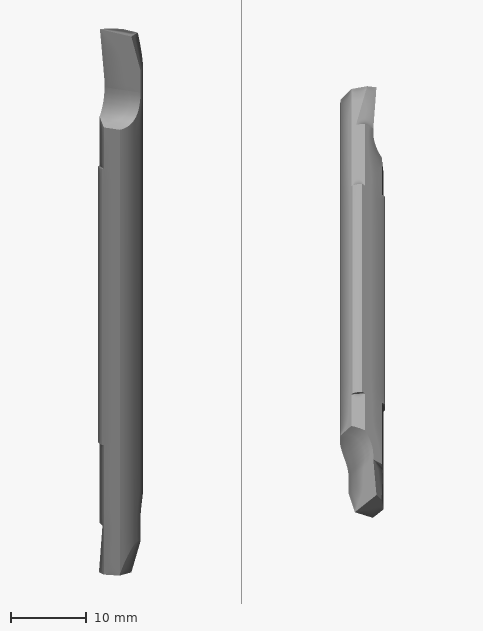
import cadquery as cq
import math

bar_length = 75.0
bar_radius = 3.0
bar_thickness = 5.4
side_flat_x = -2.3
chamfer_sum = 3.75
round_length = 38.25

tip_length = 7.05
end_drop = 0.4
nose_top_x = 1.65
nose_length = 4.9
flank_relief = 20.0
end_relief = 6.0
nose_relief = 10.0

gullet_radius = 5.3
gullet_start = 7.95

half_length = bar_length / 2
half_thickness = bar_thickness / 2
tip_base_z = half_length - tip_length
margin = 1.5


def round_section():
    """Round middle of the shank with front, back and side flats."""
    flats = cq.Workplane("XY").box(bar_radius - side_flat_x, bar_thickness, round_length)
    flats = flats.translate(((bar_radius + side_flat_x) / 2, 0, 0))
    return cq.Workplane("XY").circle(bar_radius).extrude(round_length / 2, both=True).intersect(flats)


def chamfered_section(side_x, z_low, z_high):
    """Bar stretch with chamfers beside its left side and a round right side."""
    chamfer_y = chamfer_sum + side_x
    chamfer_x = half_thickness - chamfer_sum
    round_x = math.sqrt(bar_radius**2 - half_thickness**2)
    return (
        cq.Workplane("XY", origin=(0, 0, z_low))
        .moveTo(side_x, -chamfer_y)
        .lineTo(chamfer_x, -half_thickness)
        .lineTo(round_x, -half_thickness)
        .threePointArc((bar_radius, 0), (round_x, half_thickness))
        .lineTo(chamfer_x, half_thickness)
        .lineTo(side_x, chamfer_y)
        .close()
        .extrude(z_high - z_low)
    )


def relief_cutter(start, end, angle):
    """Wedge that removes the outside of an XZ edge, leaning inward toward +Y."""
    run = cq.Vector(end[0] - start[0], 0, end[1] - start[1])
    direction = run.normalized()
    outward = cq.Vector(0, 1, 0).cross(direction)
    origin = cq.Vector(start[0], 0, start[1]) - direction * margin
    lean = math.tan(math.radians(angle))
    depth = bar_radius
    reach = bar_radius
    return (
        cq.Workplane(cq.Plane(origin, outward, direction))
        .polyline([(depth * lean, -depth), (-depth * lean, depth), (reach, depth), (reach, -depth)])
        .close()
        .extrude(run.Length + 2 * margin)
    )


def gullet():
    """Space in front of the rake face, ending in a curved run-out to the front flat."""
    start_z = half_length - gullet_start
    bottom_z = start_z - math.sqrt(gullet_radius**2 - (gullet_radius - half_thickness)**2)
    arc_angle = math.acos(1 - half_thickness / gullet_radius) / 2
    arc_middle = (
        -gullet_radius * (1 - math.cos(arc_angle)),
        start_z - gullet_radius * math.sin(arc_angle),
    )
    return (
        cq.Workplane("YZ")
        .moveTo(0, half_length + margin)
        .lineTo(0, start_z)
        .threePointArc(arc_middle, (-half_thickness, bottom_z))
        .lineTo(-half_thickness - margin, bottom_z)
        .lineTo(-half_thickness - margin, half_length + margin)
        .close()
        .extrude(bar_radius + margin, both=True)
    )


def cutting_tip():
    """Upper cutting tip, relieved behind the flank, end and nose edges of its rake face."""
    nose_bottom = (bar_radius, half_length - nose_length)
    nose_top = (nose_top_x, half_length - end_drop)
    corner = (-bar_radius, half_length)
    flank_base = (side_flat_x, tip_base_z)
    tip = chamfered_section(-bar_radius, tip_base_z, half_length)
    tip = tip.cut(relief_cutter(nose_bottom, nose_top, nose_relief))
    tip = tip.cut(relief_cutter(nose_top, corner, end_relief))
    tip = tip.cut(relief_cutter(corner, flank_base, flank_relief))
    return tip.cut(gullet())


def half_turn(body):
    """Turn a body from the upper end to the lower end."""
    return body.rotate((0, 0, 0), (1, 0, 0), 180)


def shank():
    """Shank with chamfered ends, two gullets and the upper tip."""
    end_section = chamfered_section(side_flat_x, round_length / 2, tip_base_z).cut(gullet())
    bar = round_section().union(end_section).union(half_turn(end_section))
    return bar.union(cutting_tip())


boring_bar = shank()
lower_tip = half_turn(cutting_tip())

result = cq.Compound.makeCompound([boring_bar.val(), lower_tip.val()])